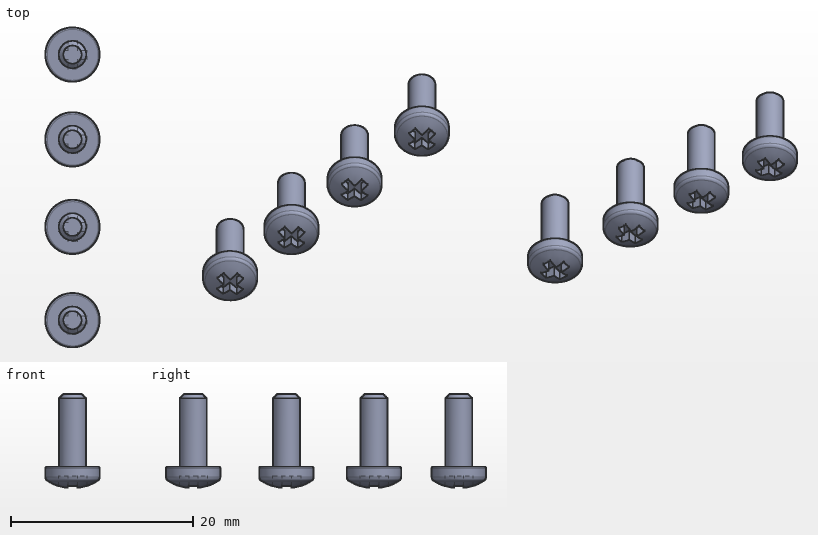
import cadquery as cq
import math

shank_diameter = 3.0
shank_length = 8.0
tip_chamfer = 0.5
head_diameter = 6.0
head_height = 2.4
dome_radius = 5.0
upper_edge_radius = 0.2
lower_edge_radius = 0.5

recess_span = 3.1
recess_width = 1.0
recess_depth = 1.4

screw_gaps = [10.245, 9.615, 9.32]

head_radius = head_diameter / 2
shank_radius = shank_diameter / 2


def make_head():
    """Disc with a domed crown that blends into the rim through a tangent arc."""
    dome_center_z = dome_radius - head_height
    blend_center_r = head_radius - lower_edge_radius
    center_distance = dome_radius - lower_edge_radius
    blend_center_z = dome_center_z - math.sqrt(center_distance**2 - blend_center_r**2)

    tangent_angle = math.asin(blend_center_r / center_distance)
    tangent_r = dome_radius * math.sin(tangent_angle)
    tangent_z = dome_center_z - dome_radius * math.cos(tangent_angle)
    dome_mid_r = dome_radius * math.sin(tangent_angle / 2)
    dome_mid_z = dome_center_z - dome_radius * math.cos(tangent_angle / 2)
    blend_mid_angle = (tangent_angle + math.pi / 2) / 2
    blend_mid_r = blend_center_r + lower_edge_radius * math.sin(blend_mid_angle)
    blend_mid_z = blend_center_z - lower_edge_radius * math.cos(blend_mid_angle)

    profile = (
        cq.Workplane("XZ")
        .moveTo(0, 0)
        .lineTo(0, -head_height)
        .threePointArc((dome_mid_r, dome_mid_z), (tangent_r, tangent_z))
        .threePointArc((blend_mid_r, blend_mid_z), (head_radius, blend_center_z))
        .lineTo(head_radius, 0)
        .close()
    )
    head = profile.revolve(360, (0, 0, 0), (0, 1, 0))
    return head.faces(">Z").edges().fillet(upper_edge_radius)


def make_shank():
    """Plain cylinder with a chamfered tip."""
    shank = cq.Workplane("XY").circle(shank_radius).extrude(shank_length)
    return shank.faces(">Z").chamfer(tip_chamfer)


def make_recess():
    """Two crossed slots sunk into the crown."""
    crown = cq.Workplane("XY").workplane(offset=-head_height)
    slot_along_x = crown.rect(recess_span, recess_width).extrude(recess_depth)
    slot_along_y = crown.rect(recess_width, recess_span).extrude(recess_depth)
    return slot_along_x.union(slot_along_y)


def make_screw(center_y):
    screw = make_head().union(make_shank()).cut(make_recess())
    return screw.translate((0, center_y, 0))


first_screw_y = -sum(screw_gaps) / 2
screws = []
for index in range(len(screw_gaps) + 1):
    screw_y = first_screw_y + sum(screw_gaps[:index])
    screws.append(make_screw(screw_y))

result = cq.Compound.makeCompound([screw.val() for screw in screws])